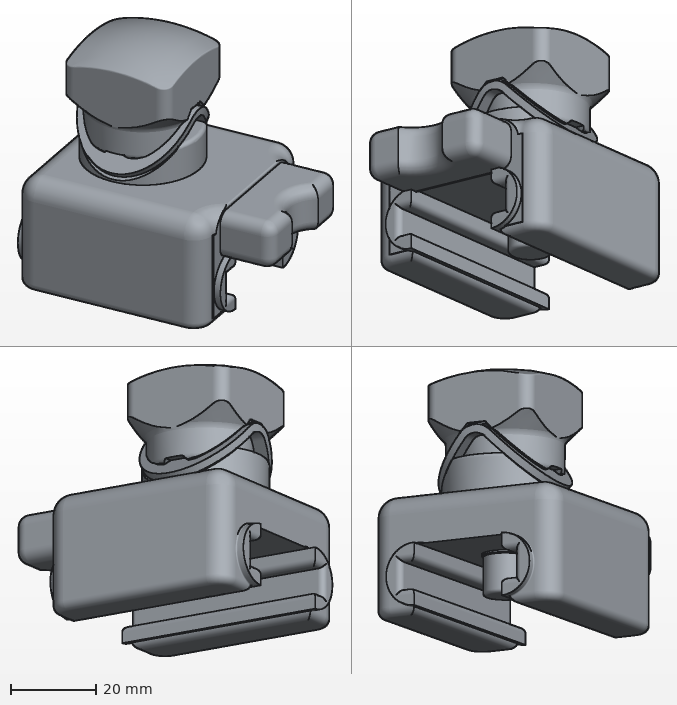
import cadquery as cq
import math

BLOCK_X_MIN = -21.0
BLOCK_LENGTH = 50.0
BLOCK_WIDTH = 49.0
BLOCK_HEIGHT = 29.0
BLOCK_ROUND = 5.0
BLOCK_BOTTOM_ROUND = 2.0
CORNER_RUNOUT = 8.0
PANEL_DEPTH = 0.3
PANEL_EDGE_ROUND = 0.4

CHANNEL_CENTRE_Y = 11.75
CHANNEL_CENTRE_Z = 9.0
CHANNEL_RADIUS = 7.5
CHANNEL_MOUTH_HALF = 12.8
PANEL_OPENING_RADIUS = 7.0

RAIL_OVERHANG = 2.0
RAIL_SLOT_DEPTH = 3.5
RAIL_SLOT_HALF_HEIGHT = 3.35
RAIL_SLOT_ROUND = 1.5
RAIL_ROOT_ROUND = 0.3

LUG_TIP_X = 43.2
LUG_WIDTH = 32.5
LUG_HEIGHT = 12.0
LUG_DROP = 0.9
LUG_ROUND = 3.0
NOTCH_RADIUS = 7.25
NOTCH_OVERHANG = 3.3

COLLAR_RADIUS = 15.0
COLLAR_TOP_Z = 38.0
COLLAR_EDGE_ROUND = 1.0
COLUMN_RADIUS = 11.5
CAM_APEX_Z = 44.6
CAM_THICKNESS = 2.0
CAM_RIDGE_RADIUS = 3.75
CAM_SLOPE_LENGTH = 20.3

PIN_RADIUS = 5.25
PIN_BOTTOM_Z = 6.5
PIN_TIP_ROUND = 0.8
STEM_RADIUS = 5.5
STEM_BOTTOM_Z = 15.8
STEM_CHAMFER = 0.24

HEAD_WIDTH = 28.2
HEAD_CORNER_ROUND = 3.0
HEAD_TOP_Z = 60.05
HEAD_DOME_RADIUS = 45.0
HEAD_EDGE_ROUND = 0.4
SKIRT_RADIUS = 14.0
SKIRT_BOTTOM_Z = 34.8
SKIRT_EDGE_ROUND = 1.5
SKIRT_NECK_ROUND = 1.8
HEAD_BOTTOM_Z = 43.2
VEE_FLAT_HALF = 2.3
VEE_TOP_Z = 45.25
VEE_RELIEF_RISE = 0.5
VEE_RELIEF_INNER_RADIUS = 13.4
DETENT_TOP_Z = 36.0

BLOCK_X_MAX = BLOCK_X_MIN + BLOCK_LENGTH
BLOCK_MID_X = BLOCK_X_MIN + BLOCK_LENGTH / 2
RAIL_LENGTH = BLOCK_LENGTH + 2 * RAIL_OVERHANG
LUG_MID_Z = BLOCK_HEIGHT - LUG_DROP - LUG_HEIGHT / 2
STEM_LENGTH = HEAD_TOP_Z - HEAD_EDGE_ROUND - STEM_BOTTOM_Z
SIN45 = math.sqrt(0.5)
CLEAR = 100.0


def block():
    body = cq.Workplane().box(BLOCK_LENGTH, BLOCK_WIDTH, BLOCK_HEIGHT)
    body = body.translate((BLOCK_MID_X, 0, BLOCK_HEIGHT / 2))
    body = body.edges("|Z").fillet(BLOCK_ROUND)
    body = body.faces("<Z").edges().fillet(BLOCK_BOTTOM_ROUND)
    body = body.faces(">Z").edges().fillet(BLOCK_ROUND)
    return body.union(lug_side_face())


def lug_side_face():
    """Square edge above the lug and a shallow raised panel below it, between the rounded corners."""
    half_length = BLOCK_WIDTH / 2 - BLOCK_ROUND
    edge_depth = BLOCK_ROUND + PANEL_DEPTH
    edge = (
        cq.Workplane()
        .box(edge_depth, 2 * half_length, BLOCK_ROUND)
        .translate((BLOCK_X_MAX + PANEL_DEPTH - edge_depth / 2, 0, BLOCK_HEIGHT - BLOCK_ROUND / 2))
        .edges(">X and >Z")
        .fillet(PANEL_EDGE_ROUND)
    )
    inner = CORNER_RUNOUT - BLOCK_ROUND
    arc_mid = (inner + BLOCK_ROUND * (1 - SIN45), BLOCK_HEIGHT - BLOCK_ROUND * (1 - SIN45))
    runout = (
        cq.Workplane("XZ")
        .moveTo(0, BLOCK_HEIGHT - BLOCK_ROUND)
        .lineTo(inner, BLOCK_HEIGHT - BLOCK_ROUND)
        .threePointArc(arc_mid, (CORNER_RUNOUT, BLOCK_HEIGHT))
        .lineTo(0, BLOCK_HEIGHT)
        .close()
        .revolve(360, (0, 0, 0), (0, 1, 0))
    )
    for side in (-1, 1):
        edge = edge.cut(runout.translate((BLOCK_X_MAX + inner, side * half_length, 0)))
    panel_height = BLOCK_HEIGHT - BLOCK_ROUND - BLOCK_BOTTOM_ROUND
    panel = (
        cq.Workplane()
        .box(PANEL_DEPTH, 2 * half_length, panel_height)
        .translate((BLOCK_X_MAX + PANEL_DEPTH / 2, 0, BLOCK_BOTTOM_ROUND + panel_height / 2))
    )
    return edge.union(panel)


def round_ended_slot(radius, x_start, x_end):
    return (
        cq.Workplane("YZ", origin=(x_start, 0, CHANNEL_CENTRE_Z))
        .slot2D(2 * (CHANNEL_CENTRE_Y + radius), 2 * radius)
        .extrude(x_end - x_start)
    )


def channel():
    """Undercut passage along X, a little lower through the panel, open below between rounded lips."""
    passage = round_ended_slot(CHANNEL_RADIUS, -CLEAR, BLOCK_X_MAX)
    passage = passage.union(round_ended_slot(PANEL_OPENING_RADIUS, BLOCK_X_MAX, CLEAR))
    lip = BLOCK_BOTTOM_ROUND
    lip_inset = lip * (1 - SIN45)
    mouth = (
        cq.Workplane("YZ", origin=(BLOCK_MID_X, 0, 0))
        .moveTo(-CHANNEL_MOUTH_HALF, lip)
        .lineTo(CHANNEL_MOUTH_HALF, lip)
        .threePointArc((CHANNEL_MOUTH_HALF + lip_inset, lip_inset), (CHANNEL_MOUTH_HALF + lip, 0))
        .lineTo(-CHANNEL_MOUTH_HALF - lip, 0)
        .threePointArc((-CHANNEL_MOUTH_HALF - lip_inset, lip_inset), (-CHANNEL_MOUTH_HALF, lip))
        .close()
        .extrude(CLEAR / 2, both=True)
    )
    return passage.union(mouth)


def rail():
    """Half-round rail on the +Y side with a slot facing the middle of the channel."""
    slot_floor_y = CHANNEL_CENTRE_Y + RAIL_SLOT_DEPTH
    bar = (
        cq.Workplane("YZ", origin=(BLOCK_MID_X, CHANNEL_CENTRE_Y, CHANNEL_CENTRE_Z))
        .moveTo(0, -CHANNEL_RADIUS)
        .threePointArc((CHANNEL_RADIUS, 0), (0, CHANNEL_RADIUS))
        .lineTo(0, RAIL_SLOT_HALF_HEIGHT)
        .lineTo(RAIL_SLOT_DEPTH, RAIL_SLOT_HALF_HEIGHT)
        .lineTo(RAIL_SLOT_DEPTH, -RAIL_SLOT_HALF_HEIGHT)
        .lineTo(0, -RAIL_SLOT_HALF_HEIGHT)
        .close()
        .extrude(RAIL_LENGTH / 2, both=True)
    )
    reach = 0.1
    slot_box = cq.selectors.BoxSelector(
        (-CLEAR, CHANNEL_CENTRE_Y - reach, CHANNEL_CENTRE_Z - RAIL_SLOT_HALF_HEIGHT - reach),
        (CLEAR, slot_floor_y + reach, CHANNEL_CENTRE_Z + RAIL_SLOT_HALF_HEIGHT + reach),
    )
    slot_edges = bar.edges(slot_box)
    end_edges = slot_edges.edges("<X or >X")
    lip_edges = slot_edges.edges("|X").edges("<Y")
    return bar.newObject(end_edges.vals() + lip_edges.vals()).fillet(RAIL_SLOT_ROUND)


def round_rail_roots(body):
    """Small fillet where the rails leave the -X face."""
    reach = 0.1
    half_height = CHANNEL_RADIUS / 2
    root = cq.selectors.BoxSelector(
        (BLOCK_X_MIN - reach, -CLEAR, CHANNEL_CENTRE_Z - half_height),
        (BLOCK_X_MIN + reach, CLEAR, CHANNEL_CENTRE_Z + half_height),
    )
    return body.edges("%CIRCLE").edges(root).fillet(RAIL_ROOT_ROUND)


def lug():
    """Rounded lug on the +X side with a finger notch in its tip."""
    root_x = BLOCK_X_MAX - BLOCK_ROUND
    body = (
        cq.Workplane()
        .box(LUG_TIP_X - root_x, LUG_WIDTH, LUG_HEIGHT)
        .translate(((LUG_TIP_X + root_x) / 2, 0, LUG_MID_Z))
        .edges("|X or >X")
        .fillet(LUG_ROUND)
    )
    half = LUG_HEIGHT / 2
    flare = NOTCH_RADIUS + LUG_ROUND
    bulge = NOTCH_RADIUS + LUG_ROUND * (1 - SIN45)
    bulge_z = half - LUG_ROUND * (1 - SIN45)
    notch = (
        cq.Workplane("XZ")
        .moveTo(0, -half)
        .lineTo(flare, -half)
        .threePointArc((bulge, -bulge_z), (NOTCH_RADIUS, LUG_ROUND - half))
        .lineTo(NOTCH_RADIUS, half - LUG_ROUND)
        .threePointArc((bulge, bulge_z), (flare, half))
        .lineTo(0, half)
        .close()
        .revolve(360, (0, 0, 0), (0, 1, 0))
        .translate((LUG_TIP_X + NOTCH_OVERHANG, 0, LUG_MID_Z))
    )
    return body.cut(notch)


def gable(apex_z, ridge_radius):
    """Long roof-shaped prism along X with 45 degree sides and a rounded ridge."""
    foot_z = BLOCK_HEIGHT - BLOCK_ROUND
    tangent_y = ridge_radius * SIN45
    ridge_z = apex_z - ridge_radius * (1 / SIN45 - 1)
    foot_y = apex_z - foot_z
    return (
        cq.Workplane("YZ")
        .moveTo(-foot_y, foot_z)
        .lineTo(-tangent_y, apex_z - tangent_y)
        .threePointArc((0, ridge_z), (tangent_y, apex_z - tangent_y))
        .lineTo(foot_y, foot_z)
        .close()
        .extrude(CLEAR / 2, both=True)
    )


def collar():
    """Flat-topped collar and a centre column, both trimmed by the underside of the cam plate."""
    base_z = BLOCK_HEIGHT - BLOCK_ROUND
    ring = cq.Workplane(origin=(0, 0, base_z)).circle(COLLAR_RADIUS).extrude(COLLAR_TOP_Z - base_z)
    ring = ring.faces(">Z").edges().fillet(COLLAR_EDGE_ROUND)
    column = cq.Workplane(origin=(0, 0, base_z)).circle(COLUMN_RADIUS).extrude(CAM_APEX_Z - base_z)
    return ring.union(column).intersect(gable(CAM_APEX_Z, CAM_RIDGE_RADIUS))


def cam_plate():
    """Roof-shaped plate whose sloping wings have half-elliptical outlines."""
    outer_apex_z = CAM_APEX_Z + CAM_THICKNESS / SIN45
    shell = gable(outer_apex_z, CAM_RIDGE_RADIUS + CAM_THICKNESS).cut(gable(CAM_APEX_Z, CAM_RIDGE_RADIUS))
    wings = []
    for side in (-1, 1):
        slope = cq.Plane(origin=(0, 0, CAM_APEX_Z), xDir=(1, 0, 0), normal=(0, side, 1))
        outline = cq.Workplane(slope).ellipse(COLLAR_RADIUS, CAM_SLOPE_LENGTH).extrude(CLEAR / 2, both=True)
        half_space = cq.Workplane().box(CLEAR, CLEAR, CLEAR).translate((0, side * CLEAR / 2, 0))
        wings.append(shell.intersect(half_space).intersect(outline))
    return wings[0].union(wings[1])


def build_housing():
    body = block().union(lug()).cut(channel())
    near_rail = rail()
    body = body.union(near_rail).union(near_rail.mirror("XZ"))
    body = round_rail_roots(body)
    body = body.union(collar()).union(cam_plate())
    bore = cq.Workplane().circle(STEM_RADIUS).extrude(CLEAR)
    return body.cut(bore)


def domed_prism():
    """Square prism with rounded corners and a domed top."""
    prism = cq.Workplane(origin=(0, 0, SKIRT_BOTTOM_Z)).rect(HEAD_WIDTH, HEAD_WIDTH)
    prism = prism.extrude(HEAD_TOP_Z - SKIRT_BOTTOM_Z).edges("|Z").fillet(HEAD_CORNER_ROUND)
    dome = cq.Workplane().sphere(HEAD_DOME_RADIUS).rotate((0, 0, 0), (0, 1, 0), 90)
    domed = prism.intersect(dome.translate((0, 0, HEAD_TOP_Z - HEAD_DOME_RADIUS)))
    return domed.faces(">Z").edges().fillet(HEAD_EDGE_ROUND)


def skirt_and_cone():
    """Round skirt that opens upward into a 45 degree cone."""
    cone_height = HEAD_TOP_Z - HEAD_BOTTOM_Z
    body = (
        cq.Workplane("XZ")
        .moveTo(0, SKIRT_BOTTOM_Z)
        .lineTo(SKIRT_RADIUS, SKIRT_BOTTOM_Z)
        .lineTo(SKIRT_RADIUS, HEAD_BOTTOM_Z)
        .lineTo(SKIRT_RADIUS + cone_height, HEAD_TOP_Z)
        .lineTo(0, HEAD_TOP_Z)
        .close()
        .revolve(360, (0, 0, 0), (0, 1, 0))
    )
    body = body.faces("<Z").edges().fillet(SKIRT_EDGE_ROUND)
    neck_height = HEAD_BOTTOM_Z - SKIRT_BOTTOM_Z
    neck = cq.selectors.BoxSelector(
        (-CLEAR, -CLEAR, SKIRT_BOTTOM_Z + neck_height / 2),
        (CLEAR, CLEAR, HEAD_BOTTOM_Z + neck_height / 2),
    )
    return body.edges("%CIRCLE").edges(neck).fillet(SKIRT_NECK_ROUND)


def vee_cut(top_z):
    """Prism along X that cuts a flat-topped 45 degree vee into the skirt."""
    depth = top_z - BLOCK_HEIGHT
    return (
        cq.Workplane("YZ")
        .moveTo(-VEE_FLAT_HALF, top_z)
        .lineTo(VEE_FLAT_HALF, top_z)
        .lineTo(VEE_FLAT_HALF + depth, BLOCK_HEIGHT)
        .lineTo(-VEE_FLAT_HALF - depth, BLOCK_HEIGHT)
        .close()
        .extrude(CLEAR / 2, both=True)
    )


def vee_rim_relief():
    """Slightly higher vee that cuts only the outer rim of the knob."""
    core = cq.Workplane().circle(VEE_RELIEF_INNER_RADIUS).extrude(HEAD_TOP_Z)
    return vee_cut(VEE_TOP_Z + VEE_RELIEF_RISE).cut(core)


def build_plunger():
    knob = domed_prism().intersect(skirt_and_cone())
    detent = vee_cut(DETENT_TOP_Z).rotate((0, 0, 0), (0, 0, 1), 90)
    knob = knob.cut(vee_cut(VEE_TOP_Z)).cut(vee_rim_relief()).cut(detent)
    stem = cq.Workplane(origin=(0, 0, STEM_BOTTOM_Z)).circle(STEM_RADIUS).extrude(STEM_LENGTH)
    stem = stem.faces("<Z").chamfer(STEM_CHAMFER)
    pin = cq.Workplane(origin=(0, 0, PIN_BOTTOM_Z)).circle(PIN_RADIUS).extrude(STEM_BOTTOM_Z - PIN_BOTTOM_Z)
    pin = pin.faces("<Z").edges().fillet(PIN_TIP_ROUND)
    return knob.union(stem).union(pin)


housing = build_housing()
plunger = build_plunger()

result = cq.Compound.makeCompound([housing.val(), plunger.val()])